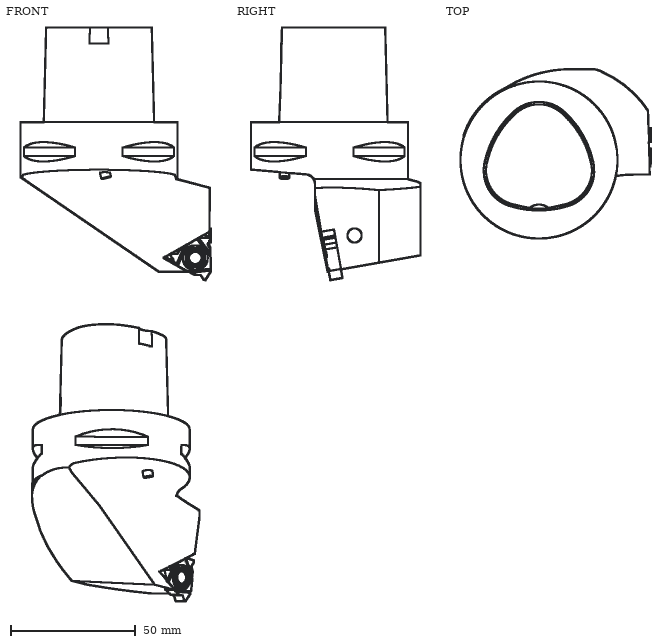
import cadquery as cq
import math


SHANK_LENGTH = 38.0
SHANK_INSET = SHANK_LENGTH / 40
SHANK_LOBE_REACH = 23.3
SHANK_FLANK_REACH = 20.3
SHANK_LOBE_OFFSET = 8.4
KEYWAY_RADIUS = 5.7
KEYWAY_HEIGHT = 6.5
KEYWAY_BOTTOM_Y = -17.8

FLANGE_RADIUS = 31.5
FLANGE_DEPTH = 22.8
SLOT_FLOOR_REACH = 28.0
SLOT_FLOOR_HEIGHT = 3.3
SLOT_CENTRE_Z = -11.9
SLOT_FLARE = 2.2
SLOT_OVERRUN = 1.0
SLOT_COUNT = 4

NECK_BACK_Y = 36.5
NECK_LEFT_RADIUS = 31.8
NECK_LEFT_END_ANGLE = 116
NECK_BACK_MIDDLE = (-1.2, 34.5)
NECK_BACK_ARC_END = 13.1
NECK_BACK_FLAT_END = 21.3
NECK_CORNER_MIDDLE = (23.4, 36.2)
NECK_CORNER_END = (25.3, 35.4)
NECK_SIDE_MIDDLE = (36.4, 28.3)
NECK_SIDE_START = (43.8, 19.8)
NECK_SIDE_RELIEF = 1.5
NECK_FRONT_Y = -5.9
NECK_TOP_SLOPE = 15
FRONT_FILLET = 3.7
UNDERSIDE_TILT = 5
UNDERSIDE_Z = -21.3
HEEL_START_Z = -22.0
HEEL_ANGLE = 34.4
RAKE_TILT = 10
RAKE_YAW = 1
RAKE_START_Z = -33.6
NOSE_BOTTOM_Y = -0.8
NOSE_BOTTOM_Z = -60.0
REACH = 101.3

NOZZLE_RADIUS = 4.0 / 2
NOZZLE_TIP = (2.9, -18.0, -22.4)
NOZZLE_LEAN = 14
NOZZLE_LENGTH = 5.1
NOZZLE_CHAMFER = 0.3

PLUG_RADIUS = 5.7 / 2
PLUG_Y = 10.0
PLUG_Z = -45.4
PLUG_END_X = 44.9
PLUG_LENGTH = 3.0

INSERT_X = 38.6
INSERT_Z = -54.4
INSERT_INRADIUS = 6.4
INSERT_THICKNESS = 5.2
INSERT_CORNER = [(-0.1, -7.0), (2.1, -7.0), (3.3, -8.9), (4.1, -9.1), (INSERT_INRADIUS, -5.4)]
INSERT_CORNER_COUNT = 3
SCREW_HEAD_RADIUS = 8.0 / 2
SCREW_RIM_DEPTH = 0.5
SCREW_BOSS_BASE_RADIUS = 3.1
SCREW_BOSS_TOP_RADIUS = 2.5
RING_GROOVE_WIDTH = 1.0
RING_GROOVE_DEPTH = 0.8
CORNER_CUT_ANGLE = 37
CORNER_CUT_LENGTH = 12.2
CORNER_STEP_REACH = 5.9
CORNER_STEP_DEPTH = 0.2
CHIP_GROOVE_WIDTH = 0.7
CHIP_GROOVE_DEPTH = 0.5


def polar(radius, angle):
    """The XY point at a radius and an angle in degrees."""
    turn = math.radians(angle)
    return radius * math.cos(turn), radius * math.sin(turn)


def rotated(point, angle):
    """An XY point turned about the origin by an angle in degrees."""
    x, y = point
    return polar(math.hypot(x, y), math.degrees(math.atan2(y, x)) + angle)


def rake_frame():
    """Frame on the rake face at the insert centre: x along the face, y up it, z out of it."""
    tilt = math.tan(math.radians(RAKE_TILT))
    yaw = math.tan(math.radians(RAKE_YAW))
    face_y = NECK_FRONT_Y + tilt * (RAKE_START_Z - INSERT_Z) + yaw * INSERT_X
    return cq.Plane(origin=(INSERT_X, face_y, INSERT_Z), xDir=(1, yaw, 0), normal=(yaw, -1, -tilt))


RAKE_FRAME = rake_frame()


def draw_shank_outline(workplane, inset):
    """Draw the rounded triangle, one lobe to +Y, moved inward by an inset."""
    lobe_reach = SHANK_LOBE_REACH - inset
    flank_reach = SHANK_FLANK_REACH - inset
    lobe_radius = lobe_reach - SHANK_LOBE_OFFSET
    lobe_x, lobe_y = polar(SHANK_LOBE_OFFSET, -30)
    half_angle = 2 * math.atan2(flank_reach - lobe_radius + lobe_y, lobe_x)
    joint_x = lobe_x + lobe_radius * math.sin(half_angle)
    joint_y = lobe_y - lobe_radius * math.cos(half_angle)
    outline = workplane.moveTo(-joint_x, joint_y)
    for turn in (0, 120, 240):
        flank_middle = rotated((0, -flank_reach), turn)
        flank_end = rotated((joint_x, joint_y), turn)
        lobe_middle = polar(lobe_reach, turn - 30)
        lobe_end = rotated((-joint_x, joint_y), turn + 120)
        outline = outline.threePointArc(flank_middle, flank_end).threePointArc(lobe_middle, lobe_end)
    return outline.close()


def make_shank():
    """Tapered shank with an upright round keyway at the top of its -Y flank."""
    base = draw_shank_outline(cq.Workplane("XY"), 0)
    shank = draw_shank_outline(base.workplane(offset=SHANK_LENGTH), SHANK_INSET).loft(ruled=True)
    keyway = (
        cq.Workplane("XY", origin=(0, KEYWAY_BOTTOM_Y - KEYWAY_RADIUS, SHANK_LENGTH - KEYWAY_HEIGHT))
        .circle(KEYWAY_RADIUS)
        .extrude(KEYWAY_HEIGHT)
    )
    return shank.cut(keyway)


def make_gripper_slot():
    """Flat-floored slot with flared walls across the +X side of the flange."""
    wall_slope = SLOT_FLARE / (FLANGE_RADIUS - SLOT_FLOOR_REACH)
    outer_x = FLANGE_RADIUS + SLOT_OVERRUN
    floor_half = SLOT_FLOOR_HEIGHT / 2
    outer_half = floor_half + wall_slope * (outer_x - SLOT_FLOOR_REACH)
    return (
        cq.Workplane("XZ", origin=(0, 0, SLOT_CENTRE_Z))
        .polyline(
            [
                (SLOT_FLOOR_REACH, -floor_half),
                (SLOT_FLOOR_REACH, floor_half),
                (outer_x, outer_half),
                (outer_x, -outer_half),
            ]
        )
        .close()
        .extrude(FLANGE_RADIUS, both=True)
    )


def make_flange():
    """Slotted flange, with its cylinder run on downward as the core of the neck."""
    flange = cq.Workplane("XY").circle(FLANGE_RADIUS).extrude(-REACH)
    slot = make_gripper_slot()
    for index in range(SLOT_COUNT):
        angle = (index + 0.5) * 360 / SLOT_COUNT
        flange = flange.cut(slot.rotate((0, 0, 0), (0, 0, 1), angle))
    return flange


def make_neck():
    """Neck blank around the flange cylinder: an outline run down from a conical top."""
    front_y = NECK_FRONT_Y - FRONT_FILLET
    side_run = (NECK_SIDE_START[1] - front_y) * math.tan(math.radians(NECK_SIDE_RELIEF))
    left_middle = polar(NECK_LEFT_RADIUS, (180 + NECK_LEFT_END_ANGLE) / 2)
    left_end = polar(NECK_LEFT_RADIUS, NECK_LEFT_END_ANGLE)
    blank = (
        cq.Workplane("XY")
        .moveTo(0, front_y)
        .lineTo(-NECK_LEFT_RADIUS, 0)
        .threePointArc(left_middle, left_end)
        .threePointArc(NECK_BACK_MIDDLE, (NECK_BACK_ARC_END, NECK_BACK_Y))
        .lineTo(NECK_BACK_FLAT_END, NECK_BACK_Y)
        .threePointArc(NECK_CORNER_MIDDLE, NECK_CORNER_END)
        .threePointArc(NECK_SIDE_MIDDLE, NECK_SIDE_START)
        .lineTo(NECK_SIDE_START[0] + side_run, front_y)
        .close()
        .extrude(-REACH)
    )
    slope = math.tan(math.radians(NECK_TOP_SLOPE))
    apex_z = FLANGE_RADIUS * slope - FLANGE_DEPTH
    envelope = (
        cq.Workplane("XZ")
        .polyline([(0, apex_z), (REACH, apex_z - REACH * slope), (REACH, -2 * REACH), (0, -2 * REACH)])
        .close()
        .revolve(360, (0, 0, 0), (0, 1, 0))
    )
    return blank.intersect(envelope)


def make_front_relief():
    """Space in front of the neck and under the flange, with a filleted corner."""
    underside_drop = (NECK_FRONT_Y + REACH) * math.tan(math.radians(UNDERSIDE_TILT))
    return (
        cq.Workplane("YZ")
        .polyline(
            [
                (NECK_FRONT_Y, UNDERSIDE_Z),
                (-REACH, UNDERSIDE_Z + underside_drop),
                (-REACH, -REACH),
                (NECK_FRONT_Y, -REACH),
            ]
        )
        .close()
        .extrude(REACH, both=True)
        .edges(cq.selectors.NearestToPointSelector((0, NECK_FRONT_Y, UNDERSIDE_Z)))
        .fillet(FRONT_FILLET)
    )


def half_space(frame):
    """A large block that fills the positive side of a frame."""
    return cq.Workplane(frame).rect(4 * REACH, 4 * REACH).extrude(REACH)


def make_rake_space():
    """Space in front of the rake face, kept below the flange."""
    top = RAKE_START_Z - INSERT_Z + 2 * FRONT_FILLET
    return (
        cq.Workplane(RAKE_FRAME)
        .center(0, top - REACH)
        .rect(2 * REACH, 2 * REACH)
        .extrude(REACH)
    )


def make_heel_space():
    """Space below the sloping heel plane on the -X side."""
    angle = math.radians(HEEL_ANGLE)
    normal = (-math.sin(angle), 0, -math.cos(angle))
    return half_space(cq.Plane(origin=(-FLANGE_RADIUS, 0, HEEL_START_Z), xDir=(0, 1, 0), normal=normal))


def make_nose_space():
    """Space below the nose, whose bottom rises towards +Y."""
    angle = math.radians(RAKE_TILT)
    normal = (0, math.sin(angle), -math.cos(angle))
    return half_space(cq.Plane(origin=(0, NOSE_BOTTOM_Y, NOSE_BOTTOM_Z), xDir=(1, 0, 0), normal=normal))


def make_nozzle():
    lean = math.radians(NOZZLE_LEAN)
    upward = (-math.sin(lean), 0, math.cos(lean))
    return (
        cq.Workplane(cq.Plane(origin=NOZZLE_TIP, xDir=(0, 1, 0), normal=upward))
        .circle(NOZZLE_RADIUS)
        .extrude(NOZZLE_LENGTH)
        .faces("<Z")
        .chamfer(NOZZLE_CHAMFER)
    )


def make_plug():
    return (
        cq.Workplane("YZ", origin=(PLUG_END_X - PLUG_LENGTH, PLUG_Y, PLUG_Z))
        .circle(PLUG_RADIUS)
        .extrude(PLUG_LENGTH)
    )


def make_insert_pocket():
    """Triangular pocket, pointing to -X, as deep as the insert is thick."""
    corner_radius = 2 * INSERT_INRADIUS
    return (
        cq.Workplane(RAKE_FRAME)
        .polyline([polar(corner_radius, angle) for angle in (60, 180, 300)])
        .close()
        .extrude(-INSERT_THICKNESS)
    )


def make_holder():
    body = make_flange().union(make_neck())
    for space in (make_front_relief(), make_rake_space(), make_heel_space(), make_nose_space()):
        body = body.cut(space)
    body = body.union(make_shank()).union(make_nozzle()).union(make_plug())
    return body.cut(make_insert_pocket())


def make_corner_cuts(inner_reach, outer_reach, depth):
    """Straight bands sunk across the insert corners, between two distances from its centre."""
    return (
        cq.Workplane(RAKE_FRAME)
        .polarArray((inner_reach + outer_reach) / 2, CORNER_CUT_ANGLE, 360, INSERT_CORNER_COUNT)
        .rect(outer_reach - inner_reach, CORNER_CUT_LENGTH)
        .extrude(-depth)
    )


def make_insert():
    """Three-cornered threading insert, flush with the rake face, with its screw head."""
    outline = []
    for index in range(INSERT_CORNER_COUNT):
        turn = index * 360 / INSERT_CORNER_COUNT
        outline += [rotated(point, turn) for point in INSERT_CORNER]
    insert = cq.Workplane(RAKE_FRAME).polyline(outline).close().extrude(-INSERT_THICKNESS)

    screw_boss = (
        cq.Workplane(RAKE_FRAME)
        .circle(SCREW_BOSS_TOP_RADIUS)
        .workplane(offset=-SCREW_RIM_DEPTH)
        .circle(SCREW_BOSS_BASE_RADIUS)
        .loft()
    )
    screw_rim = cq.Workplane(RAKE_FRAME).circle(SCREW_HEAD_RADIUS).extrude(-SCREW_RIM_DEPTH).cut(screw_boss)
    ring_groove = (
        cq.Workplane(RAKE_FRAME)
        .circle(SCREW_HEAD_RADIUS + RING_GROOVE_WIDTH)
        .circle(SCREW_HEAD_RADIUS)
        .extrude(-RING_GROOVE_DEPTH)
    )
    corner_steps = make_corner_cuts(CORNER_STEP_REACH, 2 * INSERT_INRADIUS, CORNER_STEP_DEPTH)
    groove_start = CORNER_STEP_REACH - CHIP_GROOVE_WIDTH
    chip_grooves = make_corner_cuts(groove_start, CORNER_STEP_REACH, CHIP_GROOVE_DEPTH)
    return insert.cut(screw_rim).cut(ring_groove).cut(corner_steps).cut(chip_grooves)


holder = make_holder()
insert = make_insert()
result = cq.Compound.makeCompound([holder.val(), insert.val()])